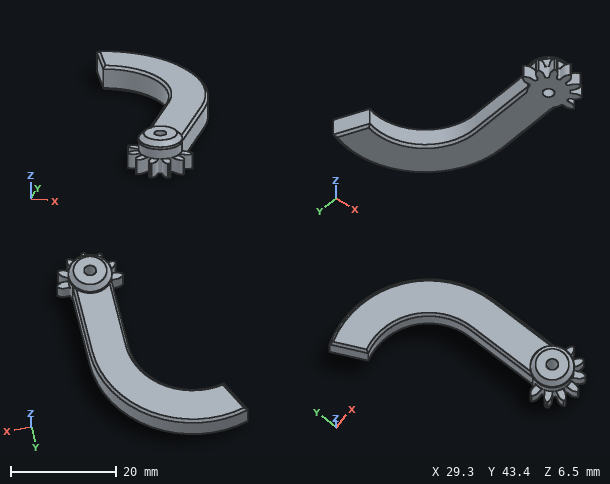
import cadquery as cq
import math

arm_width = 7.5
arm_thickness = 5.0
arm_chamfer = 0.5
straight_length = 17.0
bend_outer_radius = 20.0
outer_end_x = -22.9
end_face_tilt = 25.3

hub_radius = 4.1
cap_radius = 4.15
cap_bevel = 1.0
total_height = 6.5
hole_radius = 1.13

gear_thickness = 3.0
tooth_count = 7
tooth_pitch_angle = 30.0
tooth_width = 1.47
flank_end_radius = 5.05
tip_radius = 6.37
tip_width = 0.35
root_fillet = 0.17
position_tolerance = 0.005

half_width = arm_width / 2
bend_inner_radius = bend_outer_radius - arm_width
bend_center_x = half_width - bend_outer_radius


def bend_point(radius, angle):
    """Point on the bend, with the angle in radians from the +X direction."""
    return (
        bend_center_x + radius * math.cos(angle),
        straight_length + radius * math.sin(angle),
    )


def make_arm():
    """Bar along +Y that bends toward -X and ends in a tilted flat face."""
    outer_end_angle = math.acos((outer_end_x - bend_center_x) / bend_outer_radius)
    tilt = math.radians(end_face_tilt)
    face_direction = math.pi / 2 + tilt
    face_offset = bend_outer_radius * math.sin(face_direction - outer_end_angle)
    inner_end_angle = face_direction - math.asin(face_offset / bend_inner_radius)

    return (
        cq.Workplane("XY")
        .moveTo(-half_width, 0)
        .lineTo(half_width, 0)
        .lineTo(half_width, straight_length)
        .threePointArc(
            bend_point(bend_outer_radius, outer_end_angle / 2),
            bend_point(bend_outer_radius, outer_end_angle),
        )
        .lineTo(*bend_point(bend_inner_radius, inner_end_angle))
        .threePointArc(
            bend_point(bend_inner_radius, inner_end_angle / 2),
            (-half_width, straight_length),
        )
        .close()
        .extrude(arm_thickness)
        .faces("<Z or >Z")
        .chamfer(arm_chamfer)
    )


def make_cap():
    """Disc on top of the arm with a bevel around its upper rim."""
    return (
        cq.Workplane("XY", origin=(0, 0, arm_thickness))
        .circle(cap_radius)
        .extrude(total_height - arm_thickness)
        .faces(">Z")
        .chamfer(cap_bevel)
    )


def make_tooth(angle):
    """Tooth with parallel flanks and a rounded, narrowing tip, turned about Z."""
    half_tooth = tooth_width / 2
    half_tip = tip_width / 2
    curve_length = tip_radius - flank_end_radius
    curve_depth = half_tooth - half_tip
    curve_radius = (curve_length**2 + curve_depth**2) / (2 * curve_depth)
    half_sweep = math.asin(curve_length / curve_radius) / 2
    middle_x = flank_end_radius + curve_radius * math.sin(half_sweep)
    middle_y = half_tooth - curve_radius * (1 - math.cos(half_sweep))
    return (
        cq.Workplane("XY")
        .moveTo(0, -half_tooth)
        .lineTo(flank_end_radius, -half_tooth)
        .threePointArc((middle_x, -middle_y), (tip_radius, -half_tip))
        .lineTo(tip_radius, half_tip)
        .threePointArc((middle_x, middle_y), (flank_end_radius, half_tooth))
        .lineTo(0, half_tooth)
        .close()
        .extrude(gear_thickness)
        .rotate((0, 0, 0), (0, 0, 1), angle)
    )


def is_root_edge(edge):
    """True for an upright edge where a tooth flank meets the hub."""
    center = edge.Center()
    return math.isclose(math.hypot(center.x, center.y), hub_radius, abs_tol=position_tolerance)


def make_gear():
    """Teeth running from +X round the -Y side to -X, blended into a disc."""
    gear = cq.Workplane("XY").circle(hub_radius).extrude(gear_thickness)
    for index in range(tooth_count):
        gear = gear.union(make_tooth(-index * tooth_pitch_angle))
    return gear.edges("|Z").filter(is_root_edge).fillet(root_fillet)


hub = cq.Workplane("XY").circle(hub_radius).extrude(arm_thickness)
hole = cq.Workplane("XY").circle(hole_radius).extrude(total_height)
result = make_gear().union(hub).union(make_arm()).union(make_cap()).cut(hole)